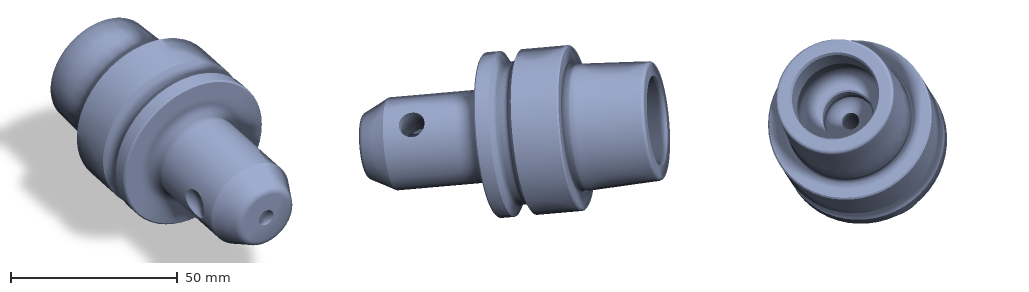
import cadquery as cq
import math

total_length = 89.9
flange_start = 24.7
flange_end = 50.8

taper_tip_radius = 18.0
taper_end_radius = 19.15
taper_end = 22.7
tip_rounding = 1.0
neck_radius = 18.9
neck_start = 23.7
neck_relief = 0.6
face_recess_radius = 20.1
relief_lip = 0.45

flange_radius = 25.0
flange_chamfer = 0.45
groove_center = 42.7
groove_floor_width = 2.9
groove_floor_radius = 21.6
groove_wall_angle = 60.0
groove_rounding = 0.8

nose_radius = 14.0
nose_root_fillet = 3.0
cone_start = 81.3
cone_half_angle = 27.0
nose_end_rounding = 2.2

mouth_radius = 13.7
bore_radius = 13.1
mouth_depth = 0.9
bore_depth = 9.7
undercut_radius = 14.65
undercut_end = 20.95
undercut_rounding = 2.25
counterbore_radius = 7.6
counterbore_chamfer = 0.45
counterbore_depth = 5.4
coolant_radius = 2.6

side_feature_x = 72.4
screw_hole_radius = 4.0
dimple_mouth_radius = 4.9
dimple_sphere_radius = 5.7

edge_margin = 0.045
cut_clearance = 0.9


def revolve_about_x(profile):
    """Close a half outline and turn it into a full body around the X axis."""
    return profile.close().revolve(360, (0, 0, 0), (1, 0, 0))


def round_rim(body, x, radius, rounding):
    """Round the circular edge of the given radius in the plane at x."""
    reach = radius + edge_margin
    rim_box = cq.selectors.BoxSelector(
        (x - edge_margin, -reach, -reach),
        (x + edge_margin, reach, reach),
        boundingbox=True,
    )
    largest_circle = cq.selectors.RadiusNthSelector(-1)
    return body.edges(rim_box).edges(largest_circle).fillet(rounding)


def make_outside():
    """Shank, flange and nose as one turned shape."""
    groove_run = (flange_radius - groove_floor_radius) / math.tan(math.radians(groove_wall_angle))
    groove_left = groove_center - groove_floor_width / 2
    groove_right = groove_center + groove_floor_width / 2
    relief_start = flange_start - relief_lip
    cone_length = total_length - cone_start
    cone_end_radius = nose_radius - cone_length * math.tan(math.radians(cone_half_angle))
    diagonal = math.sqrt(0.5)
    relief_middle = (
        relief_start + neck_relief * diagonal,
        neck_radius + neck_relief * (1 - diagonal),
    )

    profile = (
        cq.Workplane("XY")
        .lineTo(0, taper_tip_radius)
        .lineTo(taper_end, taper_end_radius)
        .lineTo(neck_start, neck_radius)
        .lineTo(relief_start, neck_radius)
        .threePointArc(
            relief_middle,
            (relief_start + neck_relief, neck_radius + neck_relief),
        )
        .lineTo(flange_start, face_recess_radius)
        .lineTo(flange_start, flange_radius - flange_chamfer)
        .lineTo(flange_start + flange_chamfer, flange_radius)
        .lineTo(groove_left - groove_run, flange_radius)
        .lineTo(groove_left, groove_floor_radius)
        .lineTo(groove_right, groove_floor_radius)
        .lineTo(groove_right + groove_run, flange_radius)
        .lineTo(flange_end - flange_chamfer, flange_radius)
        .lineTo(flange_end, flange_radius - flange_chamfer)
        .lineTo(flange_end, nose_radius)
        .lineTo(cone_start, nose_radius)
        .lineTo(total_length, cone_end_radius)
        .lineTo(total_length, 0)
    )
    body = revolve_about_x(profile)
    body = round_rim(body, 0, taper_tip_radius, tip_rounding)
    body = round_rim(body, groove_left, groove_floor_radius, groove_rounding)
    body = round_rim(body, groove_right, groove_floor_radius, groove_rounding)
    body = round_rim(body, total_length, cone_end_radius, nose_end_rounding)
    return round_rim(body, flange_end, nose_radius, nose_root_fillet)


def make_bore():
    """Shank bore with an undercut, a counterbore and the coolant hole through the nose."""
    undercut_start = bore_depth + undercut_radius - bore_radius
    counterbore_end = undercut_end + counterbore_depth
    profile = (
        cq.Workplane("XY")
        .lineTo(0, mouth_radius)
        .lineTo(mouth_depth, bore_radius)
        .lineTo(bore_depth, bore_radius)
        .lineTo(undercut_start, undercut_radius)
        .lineTo(undercut_end, undercut_radius)
        .lineTo(undercut_end, counterbore_radius + counterbore_chamfer)
        .lineTo(undercut_end + counterbore_chamfer, counterbore_radius)
        .lineTo(counterbore_end, counterbore_radius)
        .lineTo(counterbore_end, coolant_radius)
        .lineTo(total_length, coolant_radius)
        .lineTo(total_length, 0)
    )
    return round_rim(revolve_about_x(profile), undercut_end, undercut_radius, undercut_rounding)


def make_screw_hole():
    """Radial clamping-screw hole from the +Y side of the nose to the axis."""
    return (
        cq.Workplane("XZ", origin=(side_feature_x, 0, 0))
        .circle(screw_hole_radius)
        .extrude(-(nose_radius + cut_clearance))
    )


def make_dimple():
    """Ball whose cap leaves a round dimple in the -Y side of the nose."""
    center_height = math.sqrt(dimple_sphere_radius**2 - dimple_mouth_radius**2)
    center = (side_feature_x, -nose_radius - center_height, 0)
    return cq.Workplane("XY", origin=center).sphere(dimple_sphere_radius)


holder = make_outside().cut(make_bore()).cut(make_screw_hole()).cut(make_dimple())

result = cq.Compound.makeCompound([holder.val()])